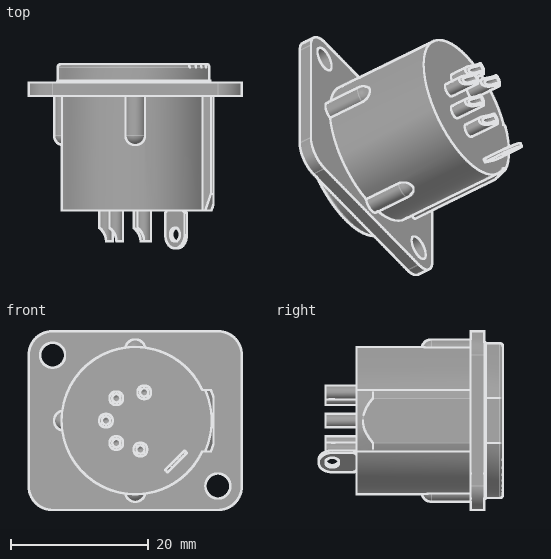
import cadquery as cq
import math


FLANGE_WIDTH = 31.0
FLANGE_HEIGHT = 26.0
FLANGE_THICKNESS = 2.0
FLANGE_CORNER_RADIUS = 3.5
SCREW_HOLE_DIAMETER = 3.6
SCREW_HOLE_X = 12.0
SCREW_HOLE_Z = 9.5

COLLAR_RADIUS = 11.27
COLLAR_LENGTH = 2.7
COLLAR_RIM_FILLET = 0.5
COLLAR_FLAT_X = 10.78
COLLAR_FLARE = 0.15
COLLAR_FLARE_LENGTH = 0.25

BODY_RADIUS = 10.7
BODY_LENGTH = 16.6

LATCH_HEIGHT = 8.9
LATCH_RADIUS = 11.85
LATCH_FLAT_X = 11.4
LATCH_END_RADIUS = 11.1
LATCH_TAPER_LENGTH = 2.4

RIB_RADIUS = 1.45
RIB_OUTER_REACH = 11.8
RIB_STRAIGHT_LENGTH = 5.7
RIB_ANGLES = (90, 180, 270)

PIN_CENTRES = (
    (0.75, -4.2),
    (-2.75, -3.25),
    (-4.25, 0.0),
    (-2.75, 3.25),
    (1.3, 4.1),
)
PIN_RADIUS = 1.0
PIN_LENGTH = 4.5
CUP_RADIUS = 0.6
CUP_DEPTH = 3.0
CUP_CONE_DEPTH = 0.35
CUP_SCOOP_RADIUS = 2.5

TAB_WIDTH = 4.0
TAB_THICKNESS = 0.5
TAB_LENGTH = 5.5
TAB_HOLE_DIAMETER = 2.0
TAB_BASE_CHAMFER = 0.35
TAB_RADIAL_PLACE = 8.38
TAB_ANGLE = -45

OVERLAP = 1.0
OVERSIZE = 100.0


def plane_at(y, x=0.0, z=0.0):
    """Workplane at depth y whose extrusions run toward -Y."""
    return cq.Workplane(cq.Plane(origin=(x, y, z), xDir=(1, 0, 0), normal=(0, -1, 0)))


def make_flange():
    screw_holes = [(-SCREW_HOLE_X, SCREW_HOLE_Z), (SCREW_HOLE_X, -SCREW_HOLE_Z)]
    return (
        plane_at(FLANGE_THICKNESS)
        .rect(FLANGE_WIDTH, FLANGE_HEIGHT)
        .extrude(FLANGE_THICKNESS)
        .edges("|Y")
        .fillet(FLANGE_CORNER_RADIUS)
        .faces("<Y")
        .workplane(origin=(0, 0, 0))
        .pushPoints(screw_holes)
        .hole(SCREW_HOLE_DIAMETER)
    )


def make_collar():
    """Round collar with a flat on +X, a rounded rim and a small flare at the flange."""
    rim_y = FLANGE_THICKNESS + COLLAR_LENGTH
    ring = plane_at(rim_y).circle(COLLAR_RADIUS).extrude(COLLAR_LENGTH + OVERLAP)
    flat_side = cq.Workplane("XY").box(
        COLLAR_RADIUS, OVERSIZE, OVERSIZE, centered=(False, True, True)
    )
    ring = ring.cut(flat_side.translate((COLLAR_FLAT_X, 0, 0)))
    ring = ring.faces(">Y").edges().fillet(COLLAR_RIM_FILLET)

    flare = (
        plane_at(FLANGE_THICKNESS - OVERLAP)
        .circle(COLLAR_RADIUS + COLLAR_FLARE)
        .extrude(-OVERLAP - COLLAR_FLARE_LENGTH)
        .faces(">Y")
        .chamfer(COLLAR_FLARE_LENGTH, COLLAR_FLARE)
    )
    flare = flare.cut(flat_side.translate((COLLAR_FLAT_X + COLLAR_FLARE, 0, 0)))
    return ring.union(flare)


def make_body():
    return plane_at(OVERLAP).circle(BODY_RADIUS).extrude(BODY_LENGTH + OVERLAP)


def make_latch_pad():
    """Raised pad: a round block with a conical free end, trimmed to a strip on +X."""
    taper_start_y = LATCH_TAPER_LENGTH - BODY_LENGTH
    round_block = (
        cq.Workplane("XY")
        .moveTo(0, OVERLAP)
        .lineTo(LATCH_RADIUS, OVERLAP)
        .lineTo(LATCH_RADIUS, taper_start_y)
        .lineTo(LATCH_END_RADIUS, -BODY_LENGTH)
        .lineTo(0, -BODY_LENGTH)
        .close()
        .revolve(360, (0, 0, 0), (0, 1, 0))
    )
    strip = cq.Workplane("XY").box(
        LATCH_FLAT_X, OVERSIZE, LATCH_HEIGHT, centered=(False, True, True)
    )
    return round_block.intersect(strip)


def make_rib(angle):
    """Round rib with a ball end, lying along the body at the given angle from +X."""
    reach = RIB_OUTER_REACH - RIB_RADIUS
    x = reach * math.cos(math.radians(angle))
    z = reach * math.sin(math.radians(angle))
    rod = plane_at(OVERLAP, x, z).circle(RIB_RADIUS).extrude(RIB_STRAIGHT_LENGTH + OVERLAP)
    ball = cq.Workplane("XY").sphere(RIB_RADIUS).translate((x, -RIB_STRAIGHT_LENGTH, z))
    return rod.union(ball)


def make_pin(x, z):
    """Solder cup: a drilled pin whose -X half is cut away near the tip."""
    tip_y = -BODY_LENGTH - PIN_LENGTH
    pin = plane_at(OVERLAP - BODY_LENGTH, x, z).circle(PIN_RADIUS).extrude(PIN_LENGTH + OVERLAP)
    drill = (
        cq.Workplane("XY")
        .lineTo(CUP_RADIUS, 0)
        .lineTo(CUP_RADIUS, CUP_DEPTH)
        .lineTo(0, CUP_DEPTH + CUP_CONE_DEPTH)
        .close()
        .revolve(360, (0, 0, 0), (0, 1, 0))
        .translate((x, tip_y, z))
    )
    scoop = (
        cq.Workplane("XY")
        .center(x - CUP_SCOOP_RADIUS, tip_y)
        .circle(CUP_SCOOP_RADIUS)
        .extrude(PIN_RADIUS, both=True)
        .translate((0, 0, z))
    )
    return pin.cut(drill).cut(scoop)


def make_ground_tab():
    """Flat tab with a hole and a round end, set tangentially around the body axis."""
    angle = math.radians(TAB_ANGLE)
    outward = cq.Vector(math.cos(angle), 0, math.sin(angle))
    across = cq.Vector(-math.sin(angle), 0, math.cos(angle))
    base_centre = outward * TAB_RADIAL_PLACE + cq.Vector(0, -BODY_LENGTH, 0)
    tab_plane = cq.Plane(origin=base_centre, xDir=across, normal=outward)

    half_width = TAB_WIDTH / 2
    neck = half_width - TAB_BASE_CHAMFER
    round_centre = TAB_LENGTH - half_width
    outline = (
        cq.Workplane(tab_plane)
        .moveTo(-neck, -OVERLAP)
        .lineTo(-neck, 0)
        .lineTo(-half_width, TAB_BASE_CHAMFER)
        .lineTo(-half_width, round_centre)
        .threePointArc((0, TAB_LENGTH), (half_width, round_centre))
        .lineTo(half_width, TAB_BASE_CHAMFER)
        .lineTo(neck, 0)
        .lineTo(neck, -OVERLAP)
        .close()
    )
    blade = outline.extrude(TAB_THICKNESS / 2, both=True)
    hole = (
        cq.Workplane(tab_plane)
        .center(0, round_centre)
        .circle(TAB_HOLE_DIAMETER / 2)
        .extrude(TAB_THICKNESS, both=True)
    )
    return blade.cut(hole)


result = make_flange().union(make_collar()).union(make_body()).union(make_latch_pad())
for rib_angle in RIB_ANGLES:
    result = result.union(make_rib(rib_angle))
for pin_x, pin_z in PIN_CENTRES:
    result = result.union(make_pin(pin_x, pin_z))
result = result.union(make_ground_tab())